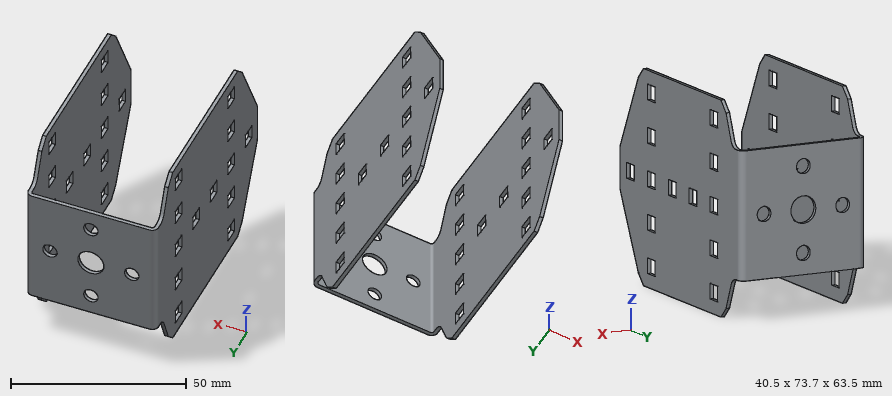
import cadquery as cq

WIDTH = 40.45
LENGTH = 73.65
HEIGHT = 63.5
THICKNESS = 1.2
BEND_INNER_RADIUS = 0.8

ROW_COUNT = 5
PITCH = HEIGHT / ROW_COUNT
SQUARE_HOLE = 4.6
COLUMN_COUNT = 5
FULL_COLUMNS = (1, 4)

CENTER_HOLE_DIAMETER = 8.0
SMALL_HOLE_DIAMETER = 4.4

CHAMFER = PITCH / 4
NECK_RADIUS = PITCH / 4
END_HEIGHT = PITCH
WEB_HEIGHT = 3 * PITCH
NECK_LENGTH = 5.1
BACK_SHOULDER = 9.0
FRONT_SHOULDER = 11.1

BACK_Y = LENGTH / 2
FRONT_Y = -LENGTH / 2


def make_channel():
    """U-shaped sheet, open towards -Y, with rounded bends at the back."""
    outer = (
        cq.Workplane("XY")
        .box(WIDTH, LENGTH, HEIGHT)
        .edges("|Z and >Y")
        .fillet(BEND_INNER_RADIUS + THICKNESS)
    )
    inner = (
        cq.Workplane("XY")
        .box(WIDTH - 2 * THICKNESS, LENGTH, HEIGHT)
        .translate((0, -THICKNESS, 0))
        .edges("|Z and >Y")
        .fillet(BEND_INNER_RADIUS)
    )
    return outer.cut(inner)


def make_side_outline():
    """Solid of the side plate outline, spanning the full width along X."""
    upper = [
        (BACK_Y, WEB_HEIGHT / 2),
        (BACK_Y - NECK_LENGTH, WEB_HEIGHT / 2),
        (BACK_Y - BACK_SHOULDER, HEIGHT / 2 - CHAMFER),
        (BACK_Y - BACK_SHOULDER - CHAMFER, HEIGHT / 2),
        (FRONT_Y + FRONT_SHOULDER + CHAMFER, HEIGHT / 2),
        (FRONT_Y + FRONT_SHOULDER, HEIGHT / 2 - CHAMFER),
        (FRONT_Y, END_HEIGHT / 2),
    ]
    lower = [(y, -z) for y, z in reversed(upper)]
    outline = cq.Workplane("YZ").polyline(upper + lower).close().extrude(WIDTH / 2, both=True)
    return outline.edges("|X").edges(">>Y[-2]").fillet(NECK_RADIUS)


def make_square_holes():
    """Square bars through both side plates: full columns and one middle row."""
    middle_row = ROW_COUNT // 2
    centers = []
    for column in range(COLUMN_COUNT):
        for row in range(ROW_COUNT):
            if column in FULL_COLUMNS or row == middle_row:
                y = FRONT_Y + (column + 0.5) * PITCH
                centers.append((y, (row - middle_row) * PITCH))
    return (
        cq.Workplane("YZ")
        .pushPoints(centers)
        .rect(SQUARE_HOLE, SQUARE_HOLE)
        .extrude(WIDTH, both=True)
    )


def make_web_holes():
    """Center hole and four smaller holes one pitch around it in the back web."""
    back_plane = cq.Workplane("XZ", origin=(0, BACK_Y, 0))
    center = back_plane.circle(CENTER_HOLE_DIAMETER / 2).extrude(THICKNESS)
    small = (
        back_plane.polarArray(PITCH, 0, 360, 4)
        .circle(SMALL_HOLE_DIAMETER / 2)
        .extrude(THICKNESS)
    )
    return center.union(small)


result = (
    make_channel()
    .intersect(make_side_outline())
    .cut(make_square_holes())
    .cut(make_web_holes())
)